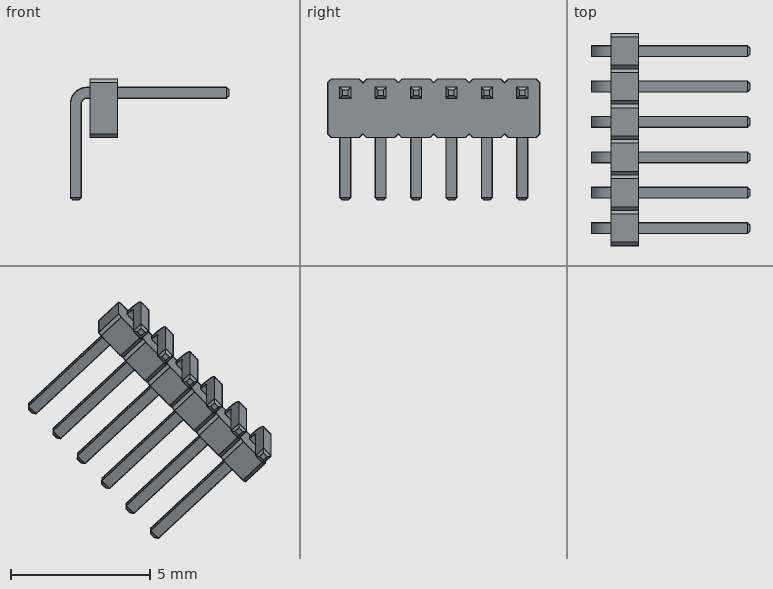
import cadquery as cq


pin_count = 6
row_length = 7.62
pitch = row_length / pin_count

body_width = 1.0
body_height = 2.1
body_chamfer = 0.13
body_offset = 0.7
body_above_pin = 0.3

pin_size = 0.4
pin_reach = 5.7
overall_height = 4.35
pin_drop = overall_height - body_above_pin
bend_outer_radius = 0.6
bend_inner_radius = bend_outer_radius - pin_size
tip_chamfer = 0.1


def make_body_segment(y_center):
    """One pitch of the body, with its four long edges chamfered."""
    return (
        cq.Workplane("XY")
        .box(body_width, pitch, body_height, centered=(False, True, False))
        .edges("|X")
        .chamfer(body_chamfer)
        .translate((body_offset, y_center, body_above_pin - body_height))
    )


def make_pin(y_center):
    """An L-shaped square pin with a rounded bend and a tapered tip at each end."""
    pin = (
        cq.Workplane("XZ")
        .moveTo(0, -pin_drop)
        .lineTo(0, -bend_outer_radius)
        .radiusArc((bend_outer_radius, 0), bend_outer_radius)
        .lineTo(pin_reach, 0)
        .lineTo(pin_reach, -pin_size)
        .lineTo(bend_outer_radius, -pin_size)
        .radiusArc((pin_size, -bend_outer_radius), -bend_inner_radius)
        .lineTo(pin_size, -pin_drop)
        .close()
        .extrude(pin_size / 2, both=True)
    )
    pin = pin.faces("<Z").chamfer(tip_chamfer)
    pin = pin.faces(">X").chamfer(tip_chamfer)
    return pin.translate((0, y_center, 0))


result = cq.Workplane("XY")
for index in range(pin_count):
    pin_y = (index - (pin_count - 1) / 2) * pitch
    result = result.add(make_body_segment(pin_y)).add(make_pin(pin_y))

result = result.combine(clean=True)